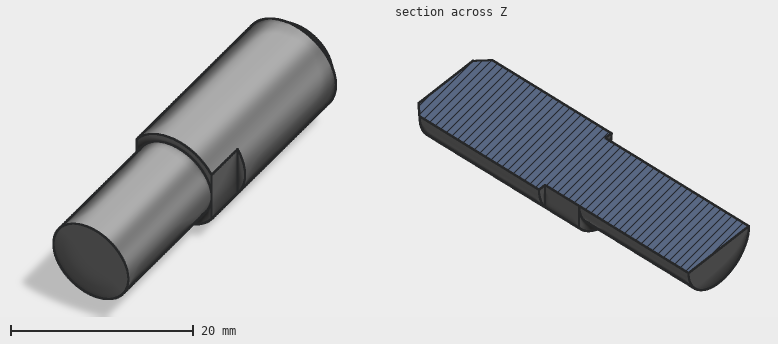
import cadquery as cq

total_length = 40.0
body_diameter = 12.0
shank_diameter = 10.0
shank_length = 16.0
end_chamfer = 1.5
flat_length = 5.0
across_flats = shank_diameter

body_length = total_length - shank_length
flat_depth = (body_diameter - across_flats) / 2


def cylinder_along_y(diameter, start_y, length):
    """Solid cylinder on the Y axis, running toward +Y from start_y."""
    plane = cq.Plane(origin=(0, start_y, 0), xDir=(1, 0, 0), normal=(0, 1, 0))
    return cq.Workplane(plane).circle(diameter / 2).extrude(length)


def make_body():
    """Thick cylinder with its far end chamfered."""
    body = cylinder_along_y(body_diameter, shank_length, body_length)
    return body.faces(">Y").edges().chamfer(end_chamfer)


def make_flat_cutter(side):
    """Block that removes one wrench flat; side is -1 or +1 along X."""
    center_x = side * (across_flats + flat_depth) / 2
    center_y = shank_length + flat_length / 2
    block = cq.Workplane("XY").box(flat_depth, flat_length, body_diameter)
    return block.translate((center_x, center_y, 0))


body = make_body()
for side in (-1, 1):
    body = body.cut(make_flat_cutter(side))

shank = cylinder_along_y(shank_diameter, 0, shank_length)

result = body.union(shank)